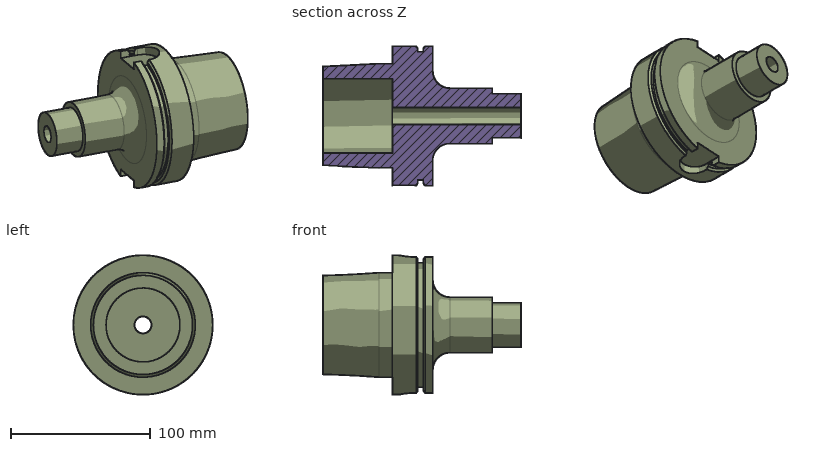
import cadquery as cq
import math

overall_length = 141.9
shank_length = 49.7
taper_length = 39.8
flange_width = 29.1
neck_end = 121.4

taper_small_diameter = 71.0
shank_diameter = 75.0
flange_diameter = 100.0
neck_diameter = 40.0
nose_diameter = 32.0
socket_diameter = 53.0
through_hole_diameter = 12.0
neck_fillet_radius = 12.0

groove_floor_diameter = 92.0
groove_center = 69.95
groove_floor_width = 3.75
groove_mouth_width = 6.3
groove_flank_angle = 56.0

keyway_width = 22.0
keyway_start = 54.6
keyway_floor_height = 43.5

flange_end = shank_length + flange_width


def revolve_about_x(profile):
    """Revolve a closed XY profile about the X axis."""
    return profile.close().revolve(360, (0, 0, 0), (1, 0, 0))


def make_body():
    """Solid of revolution: taper, shank, flange, filleted neck and nose."""
    neck_radius = neck_diameter / 2
    fillet_offset = neck_fillet_radius * (1 - math.cos(math.radians(45)))
    profile = (
        cq.Workplane("XY")
        .moveTo(0, 0)
        .lineTo(0, taper_small_diameter / 2)
        .lineTo(taper_length, shank_diameter / 2)
        .lineTo(shank_length, shank_diameter / 2)
        .lineTo(shank_length, flange_diameter / 2)
        .lineTo(flange_end, flange_diameter / 2)
        .lineTo(flange_end, neck_radius + neck_fillet_radius)
        .threePointArc(
            (flange_end + fillet_offset, neck_radius + fillet_offset),
            (flange_end + neck_fillet_radius, neck_radius),
        )
        .lineTo(neck_end, neck_radius)
        .lineTo(neck_end, nose_diameter / 2)
        .lineTo(overall_length, nose_diameter / 2)
        .lineTo(overall_length, 0)
    )
    return revolve_about_x(profile)


def make_groove():
    """Ring cutter: straight-walled groove with a flared mouth."""
    rim_radius = flange_diameter / 2
    floor_radius = groove_floor_diameter / 2
    half_floor = groove_floor_width / 2
    half_mouth = groove_mouth_width / 2
    flare_depth = (half_mouth - half_floor) * math.tan(math.radians(groove_flank_angle))
    profile = (
        cq.Workplane("XY")
        .moveTo(groove_center - half_floor, floor_radius)
        .lineTo(groove_center - half_floor, rim_radius - flare_depth)
        .lineTo(groove_center - half_mouth, rim_radius)
        .lineTo(groove_center + half_mouth, rim_radius)
        .lineTo(groove_center + half_floor, rim_radius - flare_depth)
        .lineTo(groove_center + half_floor, floor_radius)
    )
    return revolve_about_x(profile)


def make_keyway():
    """Cutter for the top keyway: rounded at the shank side, open at the neck side."""
    half_width = keyway_width / 2
    round_center = keyway_start + half_width
    return (
        cq.Workplane("XY")
        .workplane(offset=keyway_floor_height)
        .moveTo(flange_end, half_width)
        .lineTo(round_center, half_width)
        .threePointArc((keyway_start, 0), (round_center, -half_width))
        .lineTo(flange_end, -half_width)
        .close()
        .extrude(flange_diameter / 2 - keyway_floor_height)
    )


def make_bore(diameter, depth):
    """Cylinder along X starting at the open end of the taper."""
    return cq.Workplane("YZ").circle(diameter / 2).extrude(depth)


keyway = make_keyway()

result = (
    make_body()
    .cut(make_groove())
    .cut(keyway)
    .cut(keyway.mirror("XY"))
    .cut(make_bore(socket_diameter, shank_length))
    .cut(make_bore(through_hole_diameter, overall_length))
)